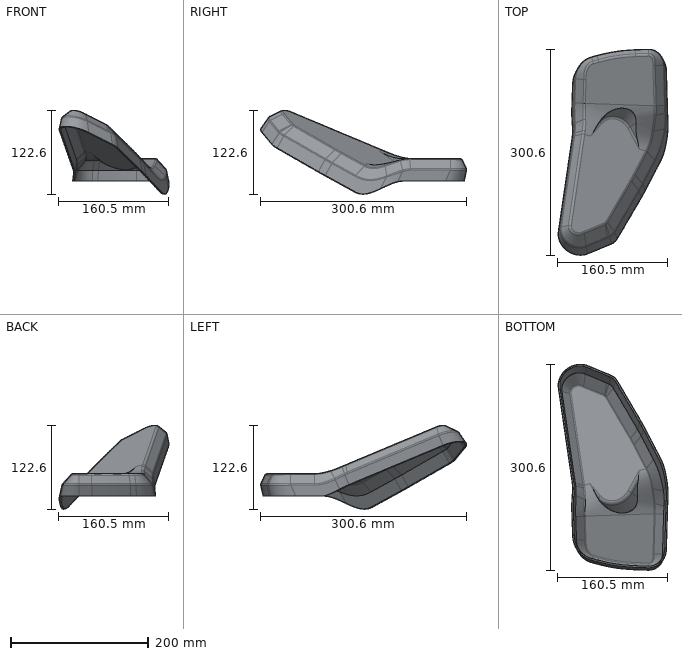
import cadquery as cq
import math

wall = 2.5
depth = 33.0
far = 260.0
half_span = 110.0

wing_height = 41.0
wing_slope_x = -0.352
wing_slope_y = -0.367

bend_start = (69.0, -0.035)
bend_end = (14.5, -0.268)
rim_bend_shift = -9.0

pull_tilt = 23.5
flange_draft = 11.0
pull_below = 40.0
pull_above = 100.0

flange_outline = [
    (-66.5, 124, 43),
    (4, 143.5, 250),
    (91, 146, 35),
    (85, 35, 55),
    (43.5, -60, 300),
    (4, -141, 23),
    (-91, -203, 31),
    (-61.5, 20, 80),
]

bevel_on_top = 11.0
bevel_on_flange = 16.0
bevel_shrink = 0.4
edge_radius = 4.5

left_sharp_edge = (-64, -40, 78)
left_top_edge = (-57, -45, 78)
left_crease = (-66, -45, 65)

scoop_outline = [(-43, 12.2, 8), (6.5, 69.5, 27), (52, -13.4, 8)]
scoop_draft = 27.0
scoop_height = 40.0
scoop_floor_radius = 4.0
scoop_back = (0, 49)

wing_stretch = math.sqrt(1 + wing_slope_x**2 + wing_slope_y**2)
tilt = math.radians(pull_tilt)
pull_plane = cq.Plane(origin=(0, 0, 0), xDir=(1, 0, 0), normal=(0, math.sin(tilt), math.cos(tilt)))
wing_plane = cq.Plane(
    origin=(0, 0, wing_height),
    xDir=(1, 0, wing_slope_x),
    normal=(-wing_slope_x, -wing_slope_y, 1),
)


def wing_z(x, y):
    return wing_height + wing_slope_x * x + wing_slope_y * y


def in_wing_plane(x, y):
    """Local wing-plane coordinates of the wing point above (x, y)."""
    local = wing_plane.toLocalCoords(cq.Vector(x, y, wing_z(x, y)))
    return local.x, local.y


def polygon_face(*corners):
    return cq.Face.makeFromWires(cq.Wire.makePolygon(corners, close=True))


def bend_section(x, drop, shift):
    """Corners and bend curve, at constant X, of the space below the top surface lowered by `drop`."""
    flat_z = depth - drop
    wing_drop = drop * wing_stretch
    y_start = bend_start[0] + bend_start[1] * x + shift
    y_end = bend_end[0] + bend_end[1] * x + shift
    handle = (y_start - y_end) / 3

    def on_flat(y):
        return cq.Vector(x, y, flat_z)

    def on_wing(y):
        return cq.Vector(x, y, wing_z(x, y) - wing_drop)

    bend = [on_flat(y_start), on_flat(y_start - handle), on_wing(y_end + handle), on_wing(y_end)]
    corners = [
        on_wing(y_end),
        on_wing(-far),
        cq.Vector(x, -far, -far),
        cq.Vector(x, far, -far),
        on_flat(far),
        on_flat(y_start),
    ]
    return corners, cq.Edge.makeBezier(bend)


def section_face(corners, bend):
    lines = [cq.Edge.makeLine(p, q) for p, q in zip(corners, corners[1:])]
    return cq.Face.makeFromWires(cq.Wire.assembleEdges([bend] + lines))


def below_surface(drop, shift=0.0):
    """Solid filling everything below the top surface lowered by `drop`."""
    left, left_bend = bend_section(-half_span, drop, shift)
    right, right_bend = bend_section(half_span, drop, shift)
    faces = [
        section_face(left, left_bend),
        section_face(right, right_bend),
        cq.Face.makeRuledSurface(left_bend, right_bend),
    ]
    for i in range(len(left) - 1):
        faces.append(polygon_face(left[i], left[i + 1], right[i + 1], right[i]))
    solid = cq.Solid.makeSolid(cq.Shell.makeShell(faces)).fix()
    return cq.Workplane(solid)


def rounded_polygon(plane, corners):
    """Closed outline on `plane` with every (u, v, radius) corner rounded."""
    points = [cq.Vector(u, v) for u, v, _ in corners]
    radii = [r for _, _, r in corners]
    arcs = []
    for i, corner in enumerate(points):
        to_prev = (points[i - 1] - corner).normalized()
        to_next = (points[(i + 1) % len(points)] - corner).normalized()
        half = to_prev.getAngle(to_next) / 2
        leg = radii[i] / math.tan(half)
        bisector = (to_prev + to_next).normalized()
        middle = corner + bisector * (radii[i] / math.sin(half) - radii[i])
        arcs.append((corner + to_prev * leg, middle, corner + to_next * leg))
    first_end = arcs[0][2]
    path = cq.Workplane(plane).moveTo(first_end.x, first_end.y)
    for start, middle, end in arcs[1:] + arcs[:1]:
        path = path.lineTo(start.x, start.y).threePointArc((middle.x, middle.y), (end.x, end.y))
    return path.close()


def offset_profile(plane, corners, grow, lift):
    """Rounded polygon grown sideways by `grow` and lifted along the plane normal by `lift`."""
    wire = rounded_polygon(plane, corners).val()
    if grow:
        wire = wire.offset2D(grow)[0]
    shift = plane.zDir * lift
    shifted = cq.Plane(plane.origin + shift, plane.xDir, plane.zDir)
    return cq.Workplane(shifted).add(wire.translate(shift)).toPending()


def nearest_edge(solid, point):
    return solid.edges(cq.selectors.NearestToPointSelector(point))


def drafted_block(inset):
    grow = pull_below * math.tan(math.radians(flange_draft)) - inset
    profile = offset_profile(pull_plane, flange_outline, grow, -pull_below)
    return profile.extrude(pull_below + pull_above, taper=flange_draft)


def beveled_block(inset):
    """Drafted block under the top surface with a bevelled edge, inset on every face."""
    block = drafted_block(inset).intersect(below_surface(inset))
    sharp_edge = nearest_edge(block, left_sharp_edge).val()
    shrink = bevel_shrink * inset
    solid = block.val().Solids()[0].chamfer(bevel_on_flange - shrink, bevel_on_top - shrink, [sharp_edge])
    block = cq.Workplane(solid)
    radius = edge_radius - inset
    if inset == 0:
        block = nearest_edge(block, left_crease).fillet(radius)
    return nearest_edge(block, left_top_edge).fillet(radius)


def scoop(inset):
    """Flared cutter whose floor lies `inset` below the wing plane."""
    corners = [in_wing_plane(x, y) + (r,) for x, y, r in scoop_outline]
    cutter = offset_profile(wing_plane, corners, inset, -inset).extrude(scoop_height, taper=-scoop_draft)
    floor_edge = scoop_back + (wing_z(*scoop_back),)
    return nearest_edge(cutter, floor_edge).fillet(scoop_floor_radius + inset)


outer = beveled_block(0).cut(scoop(0))
core = beveled_block(wall).cut(scoop(wall))
shell = outer.cut(core).cut(below_surface(depth, rim_bend_shift))
result = cq.Workplane(shell.val().Solids()[0])